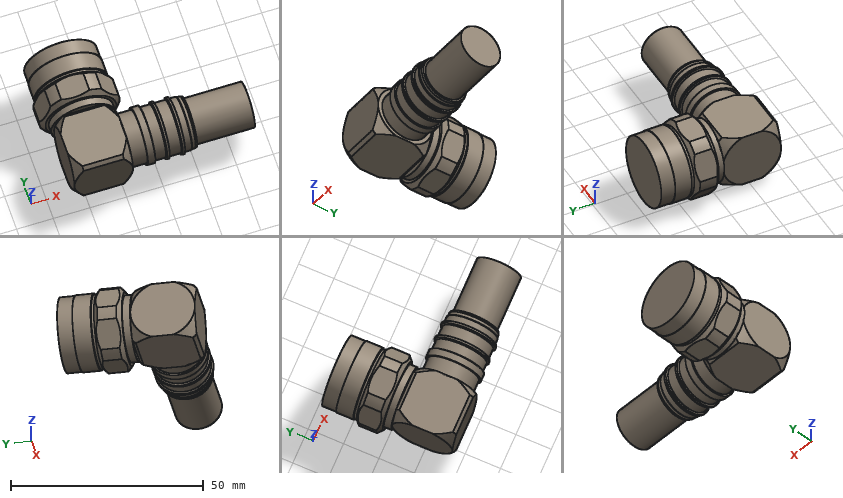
import cadquery as cq
import math


block_x = 16.0
block_y = 17.0
block_z = 16.0
block_turned_radius = 11.0
block_face_radius = block_y / 2
block_bevel_length = block_turned_radius - block_face_radius

collar_radius = 8.8
nut_start = 10.5
nut_end = 17.8
nut_corner_radius = 11.0
nut_flat_distance = 10.3
nut_front_radius = 9.65
nut_rear_radius = 9.85
nut_front_bevel = 1.2
nut_rear_bevel = 1.1
nut_turn_angle = 6.3
flat_count = 6

groove_end = 18.5
groove_lip = 0.15
barrel_radius = 10.1
barrel_end = 23.45
barrel_tip_radius = 9.95
barrel_tip_end = 27.5

sleeve_radius = 7.25
sleeve_end = 24.4
ring_radius = 7.8
ring_start = 12.3
ring_end = 14.35
bead_radius = 7.75
bead_starts = (17.35, 21.55)
bead_width = 1.05
bead_front_bevel = 0.25
bead_rear_bevel = 0.15
neck_radius = 7.05
neck_end = 26.05
neck_bevel_length = 0.55
neck_bevel_depth = 0.2
cable_radius = 6.25
cable_end = 42.0


def revolve_about_x(stations):
    """Solid of revolution about X from (x, radius) stations in rising x."""
    first_x = stations[0][0]
    last_x = stations[-1][0]
    outline = [(first_x, 0), *stations, (last_x, 0)]
    return cq.Workplane("XY").polyline(outline).close().revolve(360, (0, 0), (1, 0))


def revolve_about_y(stations):
    """Solid of revolution about Y from (y, radius) stations in rising y."""
    return revolve_about_x(stations).rotate((0, 0, 0), (0, 0, 1), 90)


def rod_x(start, end, radius):
    """Plain cylinder on the X axis."""
    return revolve_about_x([(start, radius), (end, radius)])


def make_block():
    half_length = block_x / 2
    turned_envelope = revolve_about_x([
        (-half_length, block_face_radius),
        (-half_length + block_bevel_length, block_turned_radius),
        (half_length - block_bevel_length, block_turned_radius),
        (half_length, block_face_radius),
    ])
    return cq.Workplane("XY").box(block_x, block_y, block_z).intersect(turned_envelope)


def make_nut():
    hexagon_diameter = 2 * nut_flat_distance / math.cos(math.pi / flat_count)
    hexagon = (
        cq.Workplane("XZ", origin=(0, nut_end, 0))
        .polygon(flat_count, hexagon_diameter)
        .extrude(nut_end - nut_start)
        .rotate((0, 0, 0), (0, 1, 0), -nut_turn_angle)
    )
    turned_envelope = revolve_about_y([
        (nut_start, nut_front_radius),
        (nut_start + nut_front_bevel, nut_corner_radius),
        (nut_end - nut_rear_bevel, nut_corner_radius),
        (nut_end, nut_rear_radius),
    ])
    return hexagon.intersect(turned_envelope)


def make_collar():
    return revolve_about_y([(block_y / 2, collar_radius), (nut_start, collar_radius)])


def make_barrel():
    return revolve_about_y([
        (nut_end, nut_rear_radius),
        (groove_end, nut_rear_radius),
        (groove_end + groove_lip, barrel_radius),
        (barrel_end, barrel_radius),
        (barrel_end, barrel_tip_radius),
        (barrel_tip_end, barrel_tip_radius),
    ])


def make_bead(start):
    end = start + bead_width
    return revolve_about_x([
        (start, sleeve_radius),
        (start + bead_front_bevel, bead_radius),
        (end - bead_rear_bevel, bead_radius),
        (end, sleeve_radius),
    ])


def make_neck():
    lip_end = sleeve_end + (sleeve_radius - neck_radius)
    return revolve_about_x([
        (sleeve_end, sleeve_radius),
        (lip_end, neck_radius),
        (neck_end - neck_bevel_length, neck_radius),
        (neck_end, neck_radius - neck_bevel_depth),
    ])


def make_sleeve():
    block_face = block_x / 2
    sleeve = rod_x(block_face, sleeve_end, sleeve_radius)
    sleeve = sleeve.union(rod_x(ring_start, ring_end, ring_radius))
    for bead_start in bead_starts:
        sleeve = sleeve.union(make_bead(bead_start))
    return sleeve.union(make_neck()).union(rod_x(neck_end, cable_end, cable_radius))


result = make_block().union(make_collar()).union(make_nut()).union(make_barrel()).union(make_sleeve())